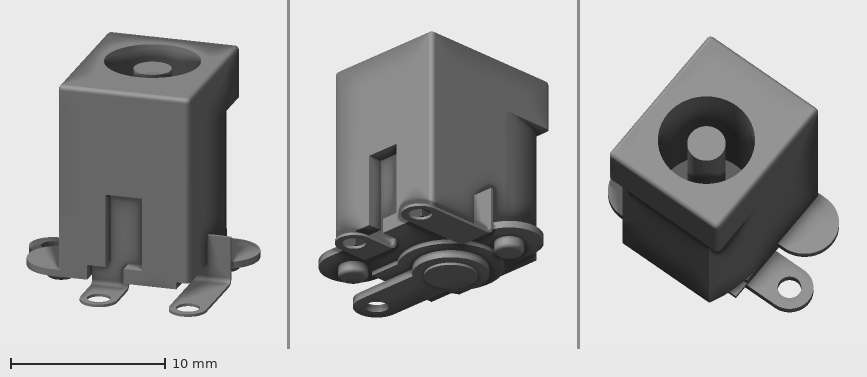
import cadquery as cq
import math


rivet_top = 0.17
lug_top = 0.7
flange_bottom = 0.99
flange_top = 1.46
back_relief_top = 10.65
housing_top = 14.2

half_width = 4.5
back_y = 4.65
front_y = -6.25
edge_radius = 0.31
bore_radius = 3.15
bore_floor = 5.19
pin_radius = 1.25
pin_recess = 0.5

sleeve_start_y = 0.51
sleeve_back_y = back_y - edge_radius
sleeve_radius = 8.2

foot_half_depth = 1.55
foot_disc_radius = 3.77
spacer_disc_radius = 3.5
spacer_half_depth = 2.74

flange_radius = 2.25
left_flange_x = -4.96
left_flange_y = front_y + flange_radius
right_flange_x = 4.8
right_flange_y = 0.55
peg_radius = 0.99
peg_bottom = 0.2
peg_edge_radius = 0.26

lug_disc_radius = 2.51
lug_radius = 1.55
lug_hole_x = -6.79
rivet_radius = 1.75
hole_radius = 0.77

tab_thickness = 0.18
tab_radius = 1.25
tab_hole_y = -7.65
bend_radius = lug_top - rivet_top - tab_thickness
front_tab_x = -tab_radius
front_tab_face_y = -5.19
front_tab_top = 2.0
side_tab_x = 4.82
side_tab_face_y = -2.39
side_tab_top = 3.5

window_half_width = 1.25
window_top = 7.0


def box(x0, x1, y0, y1, z0, z1):
    """Box given by its limits along each axis."""
    return cq.Workplane("XY").box(x1 - x0, y1 - y0, z1 - z0, centered=False).translate((x0, y0, z0))


def cylinder(radius, z0, z1, x=0, y=0):
    """Upright cylinder between two levels."""
    return cq.Workplane("XY", origin=(x, y, z0)).circle(radius).extrude(z1 - z0)


def sleeve_x(y):
    """Half width of the bulging sleeve wall, which leaves the side face tangentially."""
    rise = y - sleeve_start_y
    return half_width - sleeve_radius + math.sqrt(sleeve_radius**2 - rise**2)


def make_housing():
    block = box(-half_width, half_width, front_y, back_y, flange_top, housing_top)
    block = block.edges("|Z or >Z").fillet(edge_radius)

    corner_x = sleeve_x(sleeve_back_y)
    middle_y = (sleeve_start_y + sleeve_back_y) / 2
    middle_x = sleeve_x(middle_y)
    sleeve = (
        cq.Workplane("XY", origin=(0, 0, flange_top))
        .moveTo(-half_width, sleeve_start_y)
        .threePointArc((-middle_x, middle_y), (-corner_x, sleeve_back_y))
        .lineTo(corner_x, sleeve_back_y)
        .threePointArc((middle_x, middle_y), (half_width, sleeve_start_y))
        .close()
        .extrude(back_relief_top - flange_top)
    )
    rear = box(-half_width, half_width, sleeve_start_y, back_y, flange_top, back_relief_top)
    return block.cut(rear).union(sleeve)


def make_foot():
    """Foot plate notched at the front right corner for the side tab, and the spacer below it."""
    plate = box(-half_width, half_width, front_y, foot_half_depth, flange_bottom, flange_top)
    notch = box(side_tab_x - tab_radius, half_width, front_y, side_tab_face_y, flange_bottom, flange_top)
    spacer = box(-half_width, 0, -spacer_half_depth, spacer_half_depth, lug_top, flange_bottom)
    return (
        plate.cut(notch)
        .union(cylinder(foot_disc_radius, flange_bottom, flange_top))
        .union(spacer)
        .union(cylinder(spacer_disc_radius, lug_top, flange_bottom))
    )


def make_flange(x, y):
    """Round-ended side flange with a locating peg under its rounded end."""
    flange = cylinder(flange_radius, flange_bottom, flange_top, x, y).union(
        box(min(x, 0), max(x, 0), y - flange_radius, y + flange_radius, flange_bottom, flange_top)
    )
    peg = cylinder(peg_radius, peg_bottom, flange_bottom, x, y).faces("<Z").edges().fillet(peg_edge_radius)
    return flange.union(peg)


def make_lug():
    """Solder lug with its disc on the jack axis and the rivet head under it."""
    return (
        cylinder(lug_disc_radius, rivet_top, lug_top)
        .union(box(lug_hole_x, 0, -lug_radius, lug_radius, rivet_top, lug_top))
        .union(cylinder(lug_radius, rivet_top, lug_top, lug_hole_x))
        .cut(cylinder(hole_radius, rivet_top, lug_top, lug_hole_x))
        .union(cylinder(rivet_radius, 0, rivet_top))
    )


def make_tab(x, face_y, top):
    """Sheet tab that runs back from its round end and bends up into the housing."""
    back_face_y = face_y + tab_thickness
    sheet_top = rivet_top + tab_thickness
    outer_radius = bend_radius + tab_thickness
    bend_y = face_y - bend_radius
    diagonal = math.sqrt(0.5)
    strip = (
        cq.Workplane("YZ", origin=(x - tab_radius, 0, 0))
        .moveTo(tab_hole_y, rivet_top)
        .lineTo(bend_y, rivet_top)
        .threePointArc(
            (bend_y + outer_radius * diagonal, lug_top - outer_radius * diagonal),
            (back_face_y, lug_top),
        )
        .lineTo(back_face_y, top)
        .lineTo(face_y, top)
        .lineTo(face_y, lug_top)
        .threePointArc(
            (bend_y + bend_radius * diagonal, lug_top - bend_radius * diagonal),
            (bend_y, sheet_top),
        )
        .lineTo(tab_hole_y, sheet_top)
        .close()
        .extrude(2 * tab_radius)
    )
    end = cylinder(tab_radius, rivet_top, sheet_top, x, tab_hole_y)
    hole = cylinder(hole_radius, rivet_top, sheet_top, x, tab_hole_y)
    return strip.union(end).cut(hole)


def make_window():
    """Stepped pocket in the front face, as deep as the face of the front tab."""
    upper = box(-window_half_width, window_half_width, front_y, front_tab_face_y, front_tab_top, window_top)
    left_x = front_tab_x - tab_radius
    right_x = front_tab_x + tab_radius
    lower = box(left_x, right_x, front_y, front_tab_face_y, flange_bottom, front_tab_top)
    return upper.union(lower)


def make_socket():
    """Ring-shaped space around the contact pin, with the pin tip below the housing top."""
    pin = cylinder(pin_radius, bore_floor, housing_top - pin_recess)
    return cylinder(bore_radius, bore_floor, housing_top).cut(pin)


result = (
    make_housing()
    .union(make_foot())
    .cut(make_socket())
    .union(make_flange(left_flange_x, left_flange_y))
    .union(make_flange(right_flange_x, right_flange_y))
    .cut(make_window())
    .union(make_lug())
    .union(make_tab(front_tab_x, front_tab_face_y, front_tab_top))
    .union(make_tab(side_tab_x, side_tab_face_y, side_tab_top))
)